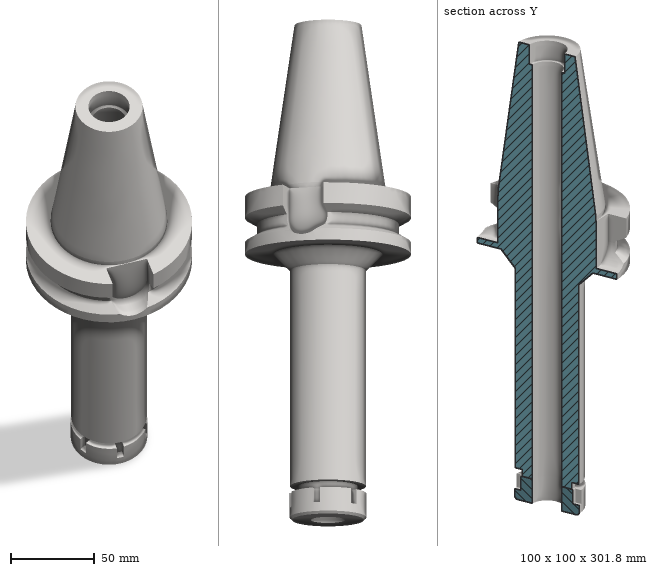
import cadquery as cq
import math


TAPER_LENGTH = 101.7
GAUGE_RADIUS = 35.0
TAPER_RATE = 7 / 24
TAPER_TIP_RADIUS = GAUGE_RADIUS - TAPER_LENGTH * TAPER_RATE / 2
GAUGE_BAND = 3.0

FLANGE_DIAMETER = 100.0
FLANGE_RADIUS = FLANGE_DIAMETER / 2
UPPER_RIM = 12.7
GROOVE_FLOOR_WIDTH = 7.0
GROOVE_DEPTH = 7.2
GROOVE_FLANK_ANGLE = 30
GROOVE_FLANK = GROOVE_DEPTH * math.tan(math.radians(GROOVE_FLANK_ANGLE))
GROOVE_RADIUS = FLANGE_RADIUS - GROOVE_DEPTH
FLANGE_WIDTH = 35.0
FLANGE_TOP_Z = -GAUGE_BAND
FLANGE_BOTTOM_Z = FLANGE_TOP_Z - FLANGE_WIDTH
GROOVE_TOP_Z = FLANGE_TOP_Z - UPPER_RIM
GROOVE_FLOOR_TOP_Z = GROOVE_TOP_Z - GROOVE_FLANK
GROOVE_FLOOR_BOTTOM_Z = GROOVE_FLOOR_TOP_Z - GROOVE_FLOOR_WIDTH
GROOVE_BOTTOM_Z = GROOVE_FLOOR_BOTTOM_Z - GROOVE_FLANK

DRIVE_SLOT_WIDTH = 25.7
DRIVE_SLOT_LENGTH = 31.0
DRIVE_SLOT_FLOOR = 35.3

SHANK_DIAMETER = 45.5
SHANK_RADIUS = SHANK_DIAMETER / 2
SHOULDER_HEIGHT = 10.0
NECK_RADIUS = 17.8
NECK_LENGTH = 4.5

OVERALL_LENGTH = 301.8
NUT_HEIGHT = 16.0
NUT_DIAMETER = 46.2
NUT_RADIUS = NUT_DIAMETER / 2
NUT_CHAMFER = 1.5
NUT_SLOT_COUNT = 6
NUT_SLOT_WIDTH = 4.5
NUT_SLOT_LENGTH = 9.0
NUT_SLOT_FLOOR = 18.7
NUT_BOTTOM_Z = TAPER_LENGTH - OVERALL_LENGTH
NUT_TOP_Z = NUT_BOTTOM_Z + NUT_HEIGHT
SHANK_BOTTOM_Z = NUT_TOP_Z + NECK_LENGTH

THROUGH_BORE_RADIUS = 10.3
TOP_BORE_RADIUS = 12.5
TOP_BORE_DEPTH = 12.7


def make_holder_blank():
    """Revolved outside of the holder, solid to the axis."""
    profile = [
        (0, TAPER_LENGTH),
        (TAPER_TIP_RADIUS, TAPER_LENGTH),
        (GAUGE_RADIUS, 0),
        (GAUGE_RADIUS, FLANGE_TOP_Z),
        (FLANGE_RADIUS, FLANGE_TOP_Z),
        (FLANGE_RADIUS, GROOVE_TOP_Z),
        (GROOVE_RADIUS, GROOVE_FLOOR_TOP_Z),
        (GROOVE_RADIUS, GROOVE_FLOOR_BOTTOM_Z),
        (FLANGE_RADIUS, GROOVE_BOTTOM_Z),
        (FLANGE_RADIUS, FLANGE_BOTTOM_Z),
        (SHANK_RADIUS + SHOULDER_HEIGHT, FLANGE_BOTTOM_Z),
        (SHANK_RADIUS, FLANGE_BOTTOM_Z - SHOULDER_HEIGHT),
        (SHANK_RADIUS, SHANK_BOTTOM_Z),
        (NECK_RADIUS, SHANK_BOTTOM_Z),
        (NECK_RADIUS, NUT_TOP_Z),
        (0, NUT_TOP_Z),
    ]
    return cq.Workplane("XZ").polyline(profile).close().revolve(360, (0, 0), (0, 1))


def make_drive_slot():
    """Cutter for the +X drive slot: open at the top, with a round lower end."""
    half_width = DRIVE_SLOT_WIDTH / 2
    slot_bottom_z = FLANGE_TOP_Z - DRIVE_SLOT_LENGTH
    arc_start_z = slot_bottom_z + half_width
    return (
        cq.Workplane("YZ", origin=(DRIVE_SLOT_FLOOR, 0, 0))
        .moveTo(-half_width, FLANGE_TOP_Z)
        .lineTo(-half_width, arc_start_z)
        .threePointArc((0, slot_bottom_z), (half_width, arc_start_z))
        .lineTo(half_width, FLANGE_TOP_Z)
        .close()
        .extrude(FLANGE_RADIUS)
    )


def make_bore(radius, bottom_z, top_z):
    return cq.Workplane("XY", origin=(0, 0, bottom_z)).circle(radius).extrude(top_z - bottom_z)


def make_holder():
    holder = make_holder_blank()
    for angle in (0, 180):
        holder = holder.cut(make_drive_slot().rotate((0, 0, 0), (0, 0, 1), angle))
    holder = holder.cut(make_bore(THROUGH_BORE_RADIUS, NUT_TOP_Z, TAPER_LENGTH))
    return holder.cut(make_bore(TOP_BORE_RADIUS, TAPER_LENGTH - TOP_BORE_DEPTH, TAPER_LENGTH))


def make_nut_slot():
    """Cutter for the +X wrench slot, open at the top of the nut."""
    return cq.Workplane("XY").box(
        NUT_RADIUS, NUT_SLOT_WIDTH, NUT_SLOT_LENGTH, centered=(False, True, False)
    ).translate((NUT_SLOT_FLOOR, 0, NUT_TOP_Z - NUT_SLOT_LENGTH))


def make_nut():
    """Ring seated against the end of the neck, with evenly spaced wrench slots."""
    nut = (
        cq.Workplane("XY", origin=(0, 0, NUT_BOTTOM_Z))
        .circle(NUT_RADIUS)
        .extrude(NUT_HEIGHT)
        .faces("<Z")
        .chamfer(NUT_CHAMFER)
        .cut(make_bore(THROUGH_BORE_RADIUS, NUT_BOTTOM_Z, NUT_TOP_Z))
    )
    for index in range(NUT_SLOT_COUNT):
        angle = index * 360 / NUT_SLOT_COUNT
        nut = nut.cut(make_nut_slot().rotate((0, 0, 0), (0, 0, 1), angle))
    return nut


holder = make_holder()
nut = make_nut()

result = cq.Compound.makeCompound([holder.val(), nut.val()])